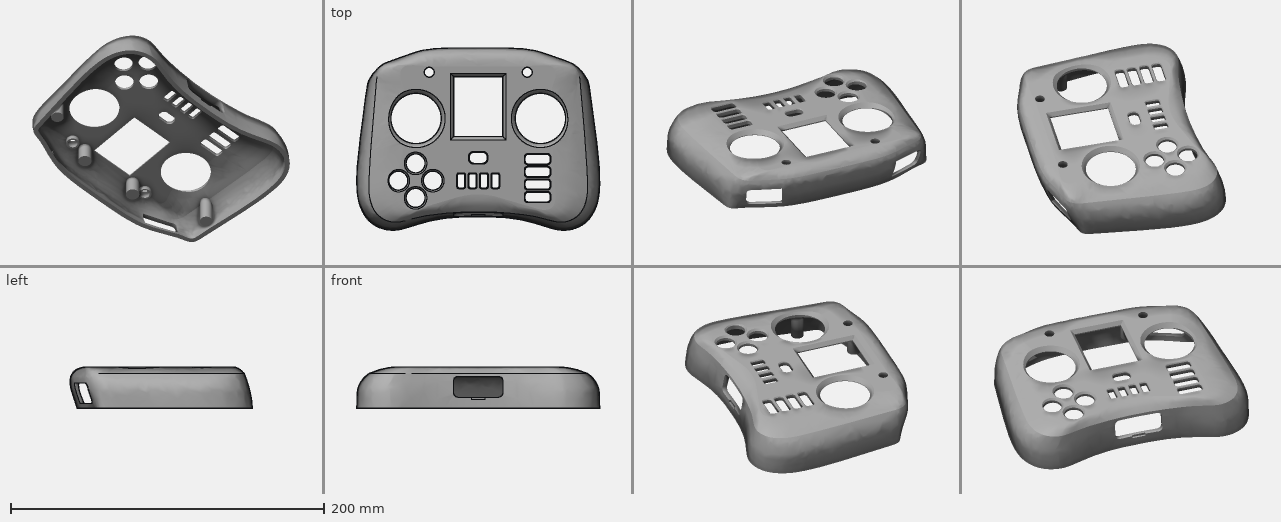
import cadquery as cq
import math

height = 26.6
crease_height = 22.3
wall = 3.0
roof = 3.0
dome_power = 2.2
back_fullness = 1.25

rim_outline = [
    (0, 53.8), (20, 53.5), (35, 51.8), (52, 45.8), (62, 41.8), (69, 38.8), (71.2, 32), (74.4, 8),
    (77.65, -27), (76.3, -40), (68.4, -53.4), (54.2, -58.25), (41, -55.2), (25, -51.1), (12, -49.8), (0, -49.5),
]
crease_outline = [
    (0, 56.85), (20, 56.7), (36, 55.2), (52.6, 49.6), (62, 45.4), (64.2, 41.5), (65.2, 35), (67.5, 8),
    (69.7, -25), (69, -38.8), (63.8, -48.7), (54, -53), (41, -50.5), (25, -47.8), (12, -46.6), (0, -46.3),
]
plate_outline = [
    (0, 46.2), (16, 46.2), (31, 46.4), (43, 47.0), (47.5, 45.8), (49.5, 42.5), (48, 35), (46.8, 10),
    (49, -28), (49.4, -38), (47.5, -43.5), (43, -45.3), (36, -44), (23, -40.3), (10, -36.5), (0, -35.4),
]
shoulder_count = 5
wall_levels = [0, 0.4, 0.75, 0.92, 1]
dome_levels = [0, 0.35, 0.7, 1]

clearance = 1.0
stick_x = 39.7
stick_y = 13.2
stick_radius = 16.0
stick_bevel = 2.6
screen_size = (31.0, 38.0)
screen_y = 20.8
screen_corner = 0
screen_bevel = 2.2
led_x = 31.3
led_y = 42.7
led_diameter = 6.2
pad_center = (-40.0, -26.5)
pad_pitch = 11.0
pad_diameter = 12.0
pad_bevel = 1.2
power_size = (11.4, 7.0)
power_y = -11.9
power_corner = 3.0
menu_size = (4.5, 9.0)
menu_y = -26.6
menu_pitch = 7.27
menu_corner = 0.9
side_size = (15.8, 6.0)
side_center = (37.9, -24.9)
side_pitch = 8.06
side_corner = 1.8
slot_count = 4
slot_bevel = 0.6

side_boss = (64.6, 21.0)
side_boss_diameter = 8.0
side_boss_bottom = 1.5
back_boss = (20.7, 42.7)
back_boss_diameter = 8.5
back_boss_bottom = 11.9
collar_diameter = 8.5
collar_drop = 3.0

front_window = (31.6, 13.4)
front_window_bottom = 7.1
front_window_corner = 3.2
notch_width = 8.7
notch_drop = 1.5
notch_floor = -48.0
front_cut_end = -35.0
front_cut_start = -70.0
shoulder_window = (23.0, 12.9)
shoulder_window_bottom = 3.2
shoulder_window_x = 49.2
shoulder_window_y = 47.2
shoulder_angle = 22.0
shoulder_window_depth = 24.0
shoulder_window_corner = 3.0


def blend(a, b, fraction):
    return a + (b - a) * fraction


def wall_section(t):
    """Half outline at fraction t of the wall; the back leans out, the rest draws in."""
    points = []
    for k, ((x0, y0), (x1, y1)) in enumerate(zip(rim_outline, crease_outline)):
        if k < shoulder_count:
            y_fraction = 2.4 * t - 1.4 * t**5
        else:
            y_fraction = t**1.7
        points.append((blend(x0, x1, t**4), blend(y0, y1, y_fraction)))
    return points


def dome_section(s):
    """Half outline at fraction s of the way from the crease in to the plate."""
    points = []
    for k, ((x0, y0), (x1, y1)) in enumerate(zip(crease_outline, plate_outline)):
        fraction = s**back_fullness if k <= shoulder_count else s
        points.append((blend(x0, x1, fraction), blend(y0, y1, fraction)))
    return points


def closed_outline(half):
    left = [(-x, y) for x, y in half[-2:0:-1]]
    return half + left


def inset(points, distance):
    """Move each point of a clockwise outline inward, square to its neighbours' chord."""
    moved = []
    for k, (x, y) in enumerate(points):
        xa, ya = points[k - 1]
        xb, yb = points[(k + 1) % len(points)]
        chord = math.hypot(xb - xa, yb - ya)
        moved.append((x + distance * (yb - ya) / chord, y - distance * (xb - xa) / chord))
    return moved


def loft(sections):
    wires = []
    for points, z in sections:
        vectors = [cq.Vector(x, y, z) for x, y in points]
        wires.append(cq.Wire.assembleEdges([cq.Edge.makeSpline(vectors, periodic=True)]))
    return cq.Workplane(cq.Solid.makeLoft(wires))


def domed_body(offset, top):
    """Wall and dome, inset by offset, whose flat plate is at height top."""
    crease = crease_height - (height - top)
    walls = [(inset(closed_outline(wall_section(t)), offset), crease * t) for t in wall_levels]
    dome = []
    for s in dome_levels:
        z = blend(crease, top, 1 - (1 - s)**dome_power)
        dome.append((inset(closed_outline(dome_section(s)), offset), z))
    return loft(walls).union(loft(dome))


def flared_mouth(size, corner, bevel):
    """Rectangular 45 degree flare that opens upward, starting one bevel below the plate."""
    rise = bevel + clearance
    low = cq.Sketch().rect(*size)
    high = cq.Sketch().rect(size[0] + 2 * rise, size[1] + 2 * rise)
    if corner > 0:
        low = low.vertices().fillet(corner)
        high = high.vertices().fillet(corner + rise)
    start = cq.Workplane(origin=(0, 0, height - bevel))
    return start.placeSketch(low, high.moved(cq.Location(cq.Vector(0, 0, rise)))).loft()


def beveled_slot(size, corner, bevel, x, y):
    """Rectangular opening through the roof with a 45 degree bevel at the plate."""
    shaft_bottom = height - roof - clearance
    shaft = cq.Workplane(origin=(0, 0, shaft_bottom)).rect(*size).extrude(height - shaft_bottom)
    if corner > 0:
        shaft = shaft.edges("|Z").fillet(corner)
    return shaft.union(flared_mouth(size, corner, bevel)).translate((x, y, 0))


def beveled_hole(radius, bevel, x, y):
    """Round hole through the roof with a 45 degree bevel at the plate."""
    shaft = cq.Workplane().circle(radius).extrude(height)
    rise = bevel + clearance
    mouth = cq.Workplane(cq.Solid.makeCone(radius, radius + rise, rise)).translate((0, 0, height - bevel))
    return shaft.union(mouth).translate((x, y, 0))


def mirrored_posts(center, diameter, bottom):
    """A post hanging from the roof on each side of the part."""
    x, y = center
    posts = []
    for side in (-1, 1):
        base = cq.Workplane(origin=(side * x, y, bottom))
        posts.append(base.circle(diameter / 2).extrude(height - bottom))
    return posts


def stick_openings():
    return [beveled_hole(stick_radius, stick_bevel, side * stick_x, stick_y) for side in (-1, 1)]


def led_openings():
    led = cq.Workplane().circle(led_diameter / 2).extrude(height + clearance)
    return [led.translate((side * led_x, led_y, 0)) for side in (-1, 1)]


def pad_openings():
    steps = ((pad_pitch, 0), (-pad_pitch, 0), (0, pad_pitch), (0, -pad_pitch))
    return [beveled_hole(pad_diameter / 2, pad_bevel, pad_center[0] + dx, pad_center[1] + dy) for dx, dy in steps]


def slot_openings():
    slots = [beveled_slot(screen_size, screen_corner, screen_bevel, 0, screen_y)]
    slots.append(beveled_slot(power_size, power_corner, slot_bevel, 0, power_y))
    for k in range(slot_count):
        step = k - (slot_count - 1) / 2
        slots.append(beveled_slot(menu_size, menu_corner, slot_bevel, step * menu_pitch, menu_y))
        side_y = side_center[1] + step * side_pitch
        slots.append(beveled_slot(side_size, side_corner, slot_bevel, side_center[0], side_y))
    return slots


def front_openings():
    """Rounded window in the front wall and the shallow notch below its lower edge."""
    width, tall = front_window
    start = cq.Workplane("XZ", origin=(0, front_cut_end, front_window_bottom + tall / 2))
    window = start.rect(width, tall).extrude(front_cut_end - front_cut_start)
    window = window.edges("|Y").fillet(front_window_corner)
    start = cq.Workplane("XZ", origin=(0, notch_floor, front_window_bottom))
    notch = start.rect(notch_width, 2 * notch_drop).extrude(notch_floor - front_cut_start)
    return [window, notch]


def shoulder_openings():
    """Mirrored windows, square to the back shoulders, rounded at the outer end."""
    width, tall = shoulder_window
    window = cq.Workplane().box(width, shoulder_window_depth, tall)
    window = window.faces(">X").edges("|Y").fillet(shoulder_window_corner)
    window = window.rotate((0, 0, 0), (0, 0, 1), -shoulder_angle)
    window = window.translate((shoulder_window_x, shoulder_window_y, shoulder_window_bottom + tall / 2))
    return [window, window.mirror("YZ")]


outer = domed_body(0, height)
cavity = domed_body(wall, height - roof)
posts = mirrored_posts(side_boss, side_boss_diameter, side_boss_bottom)
posts += mirrored_posts(back_boss, back_boss_diameter, back_boss_bottom)
posts += mirrored_posts((led_x, led_y), collar_diameter, height - roof - collar_drop)
cavity = cq.Workplane(cavity.val().cut(*[solid.val() for solid in posts]))
shell = outer.cut(cavity)
openings = stick_openings() + led_openings() + pad_openings() + slot_openings()
openings += front_openings() + shoulder_openings()
result = cq.Workplane(shell.val().cut(*[opening.val() for opening in openings]))